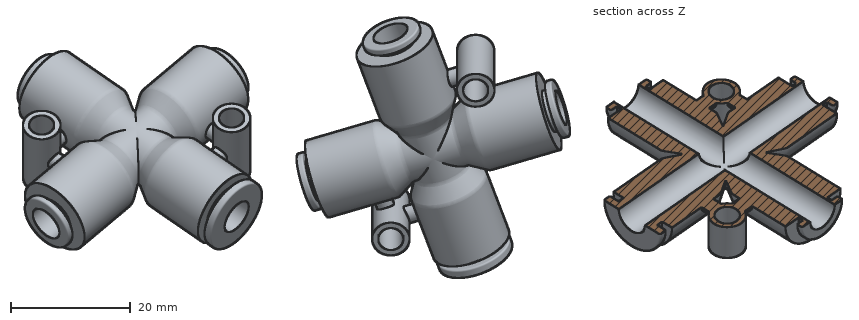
import cadquery as cq
import math


barrel_radius = 13.5 / 2
core_radius = 4.9
cone_angle = 30.0
cone_start = 4.85
cone_blend_radius = 1.25
bore_radius = 6.0 / 2

small_barrel_end = 20.4
small_tip = 22.555
small_neck_radius = 7.2 / 2
small_collar_radius = 10.0 / 2
small_collar_thickness = 1.25

large_barrel_end = 19.95
large_tip = 22.605
large_neck_radius = 9.0 / 2
large_collar_radius = 13.0 / 2
large_collar_thickness = 1.55

collar_edge_radius = 0.3

post_offset = 11.25
post_radius = 6.3 / 2
post_hole_radius = 4.2 / 2
post_height = 2 * barrel_radius
rod_radius = 3.0 / 2

cone_end = cone_start + (barrel_radius - core_radius) / math.tan(math.radians(cone_angle))


def make_arm(barrel_end):
    """Core, cone and barrel of one arm, revolved about +X, with both cone edges blended."""
    arm = (
        cq.Workplane("XY")
        .lineTo(0, core_radius)
        .lineTo(cone_start, core_radius)
        .lineTo(cone_end, barrel_radius)
        .lineTo(barrel_end, barrel_radius)
        .lineTo(barrel_end, 0)
        .close()
        .revolve(360, (0, 0, 0), (1, 0, 0))
    )
    margin = 0.1
    cone_edges = cq.selectors.BoxSelector(
        (cone_start - margin, -barrel_radius, -barrel_radius),
        (cone_end + margin, barrel_radius, barrel_radius),
        boundingbox=False,
    )
    circles = arm.edges("%CIRCLE").edges(cone_edges)
    return circles.fillet(cone_blend_radius)


def make_release_collar(barrel_end, tip, neck_radius, collar_radius, thickness):
    """Neck and rounded collar of a release sleeve at the end of a +X arm."""
    neck = cq.Workplane("YZ", origin=(barrel_end, 0, 0)).circle(neck_radius).extrude(tip - barrel_end)
    collar = (
        cq.Workplane("YZ", origin=(tip - thickness, 0, 0))
        .circle(collar_radius)
        .extrude(thickness)
        .edges("%CIRCLE")
        .fillet(collar_edge_radius)
    )
    return neck.union(collar)


def make_port(barrel_end, *collar_sizes):
    """Complete solid arm along +X: barrel and release collar."""
    return make_arm(barrel_end).union(make_release_collar(barrel_end, *collar_sizes))


def make_post(side):
    """Upright post in the +X+Y (side 1) or -X-Y (side -1) corner, with rods to both arms."""
    centre = side * post_offset
    post_base = cq.Workplane("XY", origin=(centre, centre, -post_height / 2))
    post = post_base.circle(post_radius).extrude(post_height)
    rod_to_y_arm = cq.Workplane("YZ", origin=(0, centre, 0)).circle(rod_radius).extrude(centre)
    rod_to_x_arm = cq.Workplane("XZ", origin=(centre, 0, 0)).circle(rod_radius).extrude(-centre)
    return post.union(rod_to_y_arm).union(rod_to_x_arm)


large_port = make_port(
    large_barrel_end, large_tip, large_neck_radius, large_collar_radius, large_collar_thickness
)
small_port = make_port(
    small_barrel_end, small_tip, small_neck_radius, small_collar_radius, small_collar_thickness
)
body = large_port
for angle in (90, 180, 270):
    body = body.union(small_port.rotate((0, 0, 0), (0, 0, 1), angle))

for side in (1, -1):
    body = body.union(make_post(side))

for plane in ("YZ", "XZ"):
    body = body.cut(cq.Workplane(plane).circle(bore_radius).extrude(large_tip, both=True))

post_centres = [(side * post_offset, side * post_offset) for side in (1, -1)]
post_holes = (
    cq.Workplane("XY").pushPoints(post_centres).circle(post_hole_radius).extrude(post_height, both=True)
)
result = body.cut(post_holes)